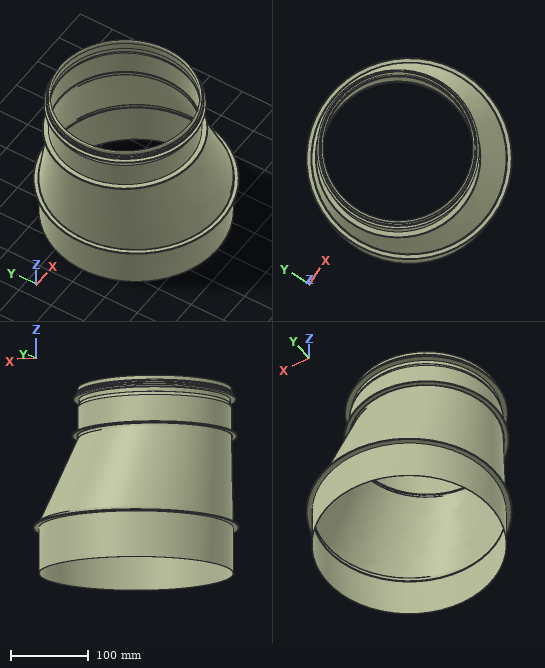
import cadquery as cq
import math


sheet = 0.5
large_radius = 251.3 / 2
small_radius = 199.0 / 2
small_axis_x = small_radius - large_radius

total_height = 240.5
lower_seam_bottom = 59.2
cone_bottom = 65.5
cone_top = 173.7
upper_seam_top = 179.3

seam_thickness = 2.0
flange_radius = 265.6 / 2
flange_width = flange_radius - large_radius
hem_nose_radius = seam_thickness / 2
hem_lip_gap = 1.0
bend_radius = 0.8
cone_flange_thickness = seam_thickness - 2 * sheet

rim_inner_radius = 193.0 / 2
neck_radius = 195.2 / 2
rim_edge_radius = 1.0
gasket_top = 234.8
rim_taper_top = 232.7
rim_taper_bottom = 227.5
neck_bottom = 219.5
shoulder_bottom = 216.8
shoulder_blend = 1.9

gasket_base_radius = 198.0 / 2
upper_lip_step_radius = 202 / 2
upper_lip_radius = 204.3 / 2
lower_lip_radius = 209.3 / 2
upper_lip_top = 233.0
upper_lip_step = 230.8
upper_lip_bottom = 229.8
lower_lip_top = 227.0
gasket_bottom = 225.3


def revolve_about(profile, axis_x):
    """Revolve a closed (radius, height) profile about Z and move its axis to axis_x."""
    return profile.close().revolve(360, (0, 0, 0), (0, 1, 0)).translate((axis_x, 0, 0))


def add_hem(profile, pipe_radius, flange_face, side):
    """Extend a collar profile from its inner wall round the seam to its outer wall.

    The wall bends out into a flange and folds back over the flange of the cone.
    flange_face is the height where both flanges meet; side is +1 when the pipe
    stands above the seam and -1 when it hangs below.
    """
    fold_radius = pipe_radius + flange_width - hem_nose_radius
    lip_radius = pipe_radius + hem_lip_gap
    outer_face = flange_face + side * sheet
    lip_inner_face = flange_face - side * cone_flange_thickness
    lip_outer_face = lip_inner_face - side * sheet
    nose_tip = (pipe_radius + flange_width, (lip_outer_face + outer_face) / 2)
    bend_x = pipe_radius + bend_radius
    bend_z = outer_face + side * bend_radius

    def mid_bend(radius):
        offset = radius * math.sqrt(0.5)
        return (bend_x - offset, bend_z - side * offset)

    return (
        profile.lineTo(pipe_radius - sheet, bend_z)
        .threePointArc(mid_bend(bend_radius + sheet), (bend_x, flange_face))
        .lineTo(fold_radius, flange_face)
        .lineTo(fold_radius, lip_inner_face)
        .lineTo(lip_radius, lip_inner_face)
        .lineTo(lip_radius, lip_outer_face)
        .lineTo(fold_radius, lip_outer_face)
        .threePointArc(nose_tip, (fold_radius, outer_face))
        .lineTo(bend_x, outer_face)
        .threePointArc(mid_bend(bend_radius), (pipe_radius, bend_z))
    )


def make_large_collar():
    flange_face = lower_seam_bottom + sheet
    profile = cq.Workplane("XZ").moveTo(large_radius - sheet, 0)
    profile = add_hem(profile, large_radius, flange_face, -1).lineTo(large_radius, 0)
    return revolve_about(profile, 0)


def make_small_collar():
    flange_face = upper_seam_top - sheet
    blend_bottom = shoulder_bottom - shoulder_blend
    neck_inner_radius = neck_radius - sheet
    profile = (
        cq.Workplane("XZ")
        .moveTo(rim_inner_radius + rim_edge_radius, total_height)
        .radiusArc((rim_inner_radius, total_height - rim_edge_radius), -rim_edge_radius)
        .lineTo(rim_inner_radius, rim_taper_top)
        .lineTo(neck_inner_radius, rim_taper_bottom)
        .lineTo(neck_inner_radius, neck_bottom)
        .lineTo(small_radius - sheet, blend_bottom)
    )
    profile = (
        add_hem(profile, small_radius, flange_face, 1)
        .lineTo(small_radius, blend_bottom)
        .tangentArcPoint((small_radius - sheet, shoulder_bottom), relative=False)
        .lineTo(neck_radius, neck_bottom)
        .lineTo(neck_radius, gasket_top)
        .lineTo(small_radius, gasket_top)
        .lineTo(small_radius, total_height - rim_edge_radius)
        .tangentArcPoint((small_radius - rim_edge_radius, total_height), relative=False)
    )
    return revolve_about(profile, small_axis_x)


def cone_frustum(inset):
    """Skew cone between the two pipe circles, each reduced by inset."""
    return (
        cq.Workplane("XY")
        .workplane(offset=cone_bottom)
        .circle(large_radius - inset)
        .workplane(offset=cone_top - cone_bottom)
        .center(small_axis_x, 0)
        .circle(small_radius - inset)
        .loft(ruled=True)
    )


def cone_stub(pipe_radius, axis_x, cone_end, flange_face, flange_back):
    """Short pipe from the cone's end to flange_face, with a flange there that fills the hem."""
    fold_radius = pipe_radius + flange_width - hem_nose_radius
    profile = (
        cq.Workplane("XZ")
        .moveTo(pipe_radius - sheet, cone_end)
        .lineTo(pipe_radius - sheet, flange_face)
        .lineTo(fold_radius, flange_face)
        .lineTo(fold_radius, flange_back)
        .lineTo(pipe_radius, flange_back)
        .lineTo(pipe_radius, cone_end)
    )
    return revolve_about(profile, axis_x)


def make_transition():
    lower_face = lower_seam_bottom + sheet
    upper_face = upper_seam_top - sheet
    shell = cone_frustum(0).cut(cone_frustum(sheet))
    lower_stub = cone_stub(large_radius, 0, cone_bottom, lower_face, lower_face + cone_flange_thickness)
    upper_stub = cone_stub(
        small_radius, small_axis_x, cone_top, upper_face, upper_face - cone_flange_thickness
    )
    return shell.union(lower_stub).union(upper_stub)


def make_gasket():
    profile = (
        cq.Workplane("XZ")
        .moveTo(neck_radius, gasket_bottom)
        .lineTo(neck_radius, gasket_top)
        .lineTo(gasket_base_radius, gasket_top)
        .lineTo(gasket_base_radius, upper_lip_top)
        .lineTo(upper_lip_step_radius, upper_lip_top)
        .lineTo(upper_lip_step_radius, upper_lip_step)
        .lineTo(upper_lip_radius, upper_lip_step)
        .lineTo(upper_lip_radius, upper_lip_bottom)
        .lineTo(gasket_base_radius, upper_lip_bottom)
        .lineTo(gasket_base_radius, lower_lip_top)
        .lineTo(lower_lip_radius, lower_lip_top)
        .lineTo(lower_lip_radius, gasket_bottom)
    )
    return revolve_about(profile, small_axis_x)


large_collar = make_large_collar()
small_collar = make_small_collar()
transition = make_transition()
gasket = make_gasket()

result = cq.Compound.makeCompound(
    [large_collar.val(), small_collar.val(), transition.solids().val(), gasket.val()]
)